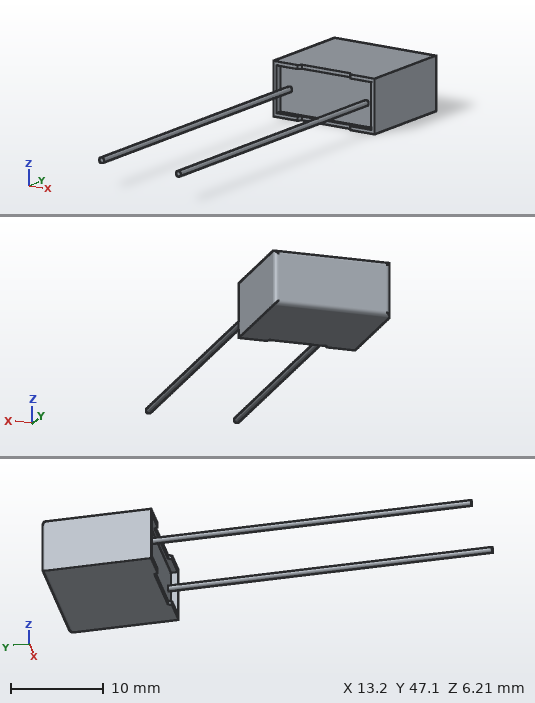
import cadquery as cq

case_width = 13.2
case_length = 12.1
case_height = 6.21
wall = 0.45
end_round = 0.5

relief_width = 6.9
relief_depth = 0.4
relief_slope_run = 0.3

filling_recess = 0.75

lead_pitch = 10.0
lead_diameter = 0.65
lead_reach = 35.0

cavity_width = case_width - 2 * wall
cavity_height = case_height - 2 * wall
cavity_length = case_length - wall


def block_from(y_start, width, length, height):
    """Box centred on X and Z that runs from y_start towards +Y."""
    return cq.Workplane("XY").box(width, length, height).translate((0, y_start + length / 2, 0))


def make_rim_relief():
    """Trapezoid prism with sloped ends, running through the full height."""
    half_mouth = relief_width / 2
    half_floor = half_mouth - relief_slope_run
    return (
        cq.Workplane("XY")
        .polyline([
            (-half_mouth, 0),
            (half_mouth, 0),
            (half_floor, relief_depth),
            (-half_floor, relief_depth),
        ])
        .close()
        .extrude(case_height / 2, both=True)
    )


def make_case():
    shell = block_from(0, case_width, case_length, case_height)
    shell = shell.faces(">Y").edges().fillet(end_round)
    shell = shell.cut(block_from(0, cavity_width, cavity_length, cavity_height))
    return shell.cut(make_rim_relief())


def make_filling():
    return block_from(filling_recess, cavity_width, cavity_length - filling_recess, cavity_height)


def make_lead(x):
    """Wire from the filling face out towards -Y."""
    return (
        cq.Workplane("XZ", origin=(x, filling_recess, 0))
        .circle(lead_diameter / 2)
        .extrude(filling_recess + lead_reach)
    )


case = make_case()
filling = make_filling()
leads = [make_lead(side * lead_pitch / 2) for side in (-1, 1)]

result = cq.Compound.makeCompound([
    case.val(),
    filling.val(),
    *[lead.val() for lead in leads],
])